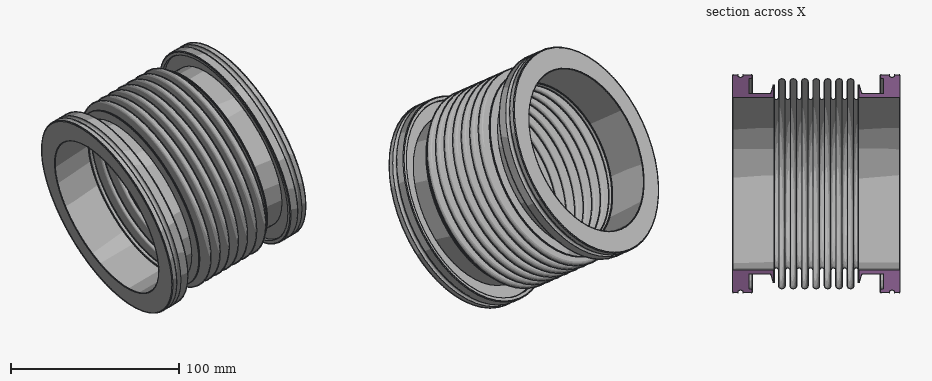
import cadquery as cq
import math

total_length = 99.84
revolve_axis = ((0, 0, 0), (0, 1, 0))

flange_radius = 65.0
flange_thickness = 12.0
bore_radius = 51.25
bore_chamfer = 0.3
edge_chamfer = 0.5
groove_radius = 1.5
groove_offset = 4.9
neck_radius = 54.0
recess_radius = 62.5
recess_depth = 2.0
lip_radius = 58.8
lip_rim_width = 0.5
lip_cone_length = 1.5
flange_length = 24.75

convolution_count = 7
pitch = 6.8
sheet_thickness = 0.4
crest_radius = 62.7
root_radius = 50.3
crest_bend = 2.2
root_bend = pitch / 2 - crest_bend


def end_flange():
    """Flange with its neck and welding lip, outer face on -Y."""
    outer_y = -total_length / 2
    inner_y = outer_y + flange_thickness
    groove_y = outer_y + groove_offset
    lip_y = outer_y + flange_length
    rim_y = lip_y - lip_rim_width
    return (
        cq.Workplane("XY")
        .moveTo(bore_radius, outer_y + bore_chamfer)
        .lineTo(bore_radius + bore_chamfer, outer_y)
        .lineTo(flange_radius - edge_chamfer, outer_y)
        .lineTo(flange_radius, outer_y + edge_chamfer)
        .lineTo(flange_radius, groove_y - groove_radius)
        .threePointArc(
            (flange_radius - groove_radius, groove_y),
            (flange_radius, groove_y + groove_radius),
        )
        .lineTo(flange_radius, inner_y - edge_chamfer)
        .lineTo(flange_radius - edge_chamfer, inner_y)
        .lineTo(recess_radius, inner_y)
        .lineTo(recess_radius, inner_y - recess_depth)
        .lineTo(neck_radius, inner_y - recess_depth)
        .lineTo(neck_radius, rim_y - lip_cone_length)
        .lineTo(lip_radius, rim_y)
        .lineTo(lip_radius, lip_y)
        .lineTo(bore_radius, lip_y)
        .close()
        .revolve(360, *revolve_axis)
    )


def trace_convolutions(profile, crest_bend_here, root_bend_here, start_y):
    """Trace one surface of the sheet from the end ring at start_y to the ring at -start_y."""
    direction = -math.copysign(1, start_y)
    root_centre = root_radius + root_bend
    crest_centre = crest_radius - crest_bend
    half_span = convolution_count * pitch / 2
    ring_offset = half_span - abs(start_y)
    ring_meeting_radius = root_centre - math.sqrt(root_bend_here**2 - ring_offset**2)
    diagonal = root_bend_here * math.sqrt(0.5)

    profile = profile.lineTo(ring_meeting_radius, start_y).threePointArc(
        (root_centre - diagonal, direction * (diagonal - half_span)),
        (root_centre, direction * (root_bend_here - half_span)),
    )
    for i in range(convolution_count):
        crest_y = direction * ((i + 0.5) * pitch - half_span)
        near_wall_y = crest_y - direction * crest_bend_here
        far_wall_y = crest_y + direction * crest_bend_here
        profile = (
            profile.lineTo(crest_centre, near_wall_y)
            .threePointArc((crest_centre + crest_bend_here, crest_y), (crest_centre, far_wall_y))
            .lineTo(root_centre, far_wall_y)
        )
        if i < convolution_count - 1:
            root_y = crest_y + direction * pitch / 2
            profile = profile.threePointArc(
                (root_centre - root_bend_here, root_y),
                (root_centre, root_y + direction * root_bend_here),
            )
    return profile.threePointArc(
        (root_centre - diagonal, direction * (half_span - diagonal)),
        (ring_meeting_radius, -start_y),
    )


def bellows():
    """Convoluted sheet with a flat ring at each end that lies on the flange lips."""
    end_y = total_length / 2 - flange_length
    ring_y = end_y - sheet_thickness
    profile = cq.Workplane("XY").moveTo(lip_radius, -end_y).lineTo(lip_radius, -ring_y)
    profile = trace_convolutions(profile, crest_bend, root_bend, -ring_y)
    profile = profile.lineTo(lip_radius, ring_y).lineTo(lip_radius, end_y)
    profile = trace_convolutions(
        profile, crest_bend - sheet_thickness, root_bend + sheet_thickness, end_y
    )
    return profile.close().revolve(360, *revolve_axis)


front_flange = end_flange()
rear_flange = end_flange().mirror("XZ")
middle_bellows = bellows()

result = cq.Compound.makeCompound([front_flange.val(), rear_flange.val(), middle_bellows.val()])